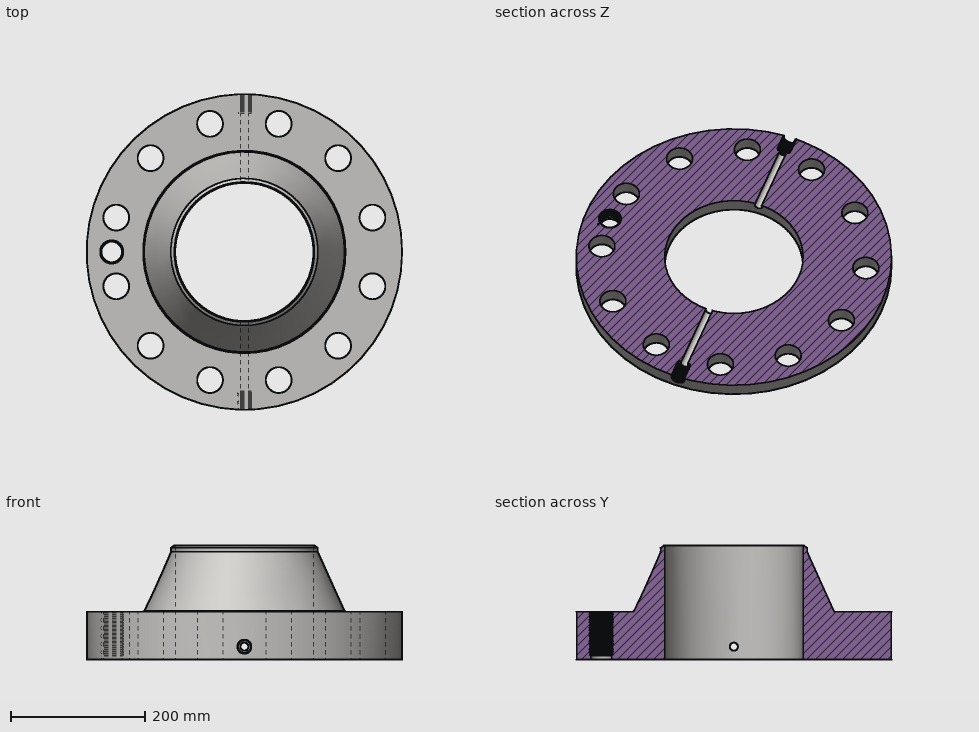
import cadquery as cq
import math

flange_dia = 470.0
flange_thickness = 71.5

overall_height = 170.0
hub_base_dia = 301.5
hub_foot_height = 1.5
cone_base_dia = 298.0
neck_dia = 219.0
neck_start_z = 160.2
bore_dia = 205.5
weld_land = 1.6
bevel_angle = 37.5

bolt_count = 12
bolt_circle_dia = 394.5
bolt_hole_dia = 38.0

jack_minor_dia = 30.5
jack_major_dia = 35.0
jack_pitch = 4.0

tap_z = 19.5
tap_drill_dia = 11.7
tap_minor_dia = 19.0
tap_major_dia = 21.0
tap_pitch = 1.85
tap_depth = 28.0


def flange_body():
    """Revolved disc, tapered hub and bevelled weld end, with the bore open."""
    bore_radius = bore_dia / 2
    land_radius = bore_radius + weld_land
    bevel_width = neck_dia / 2 - land_radius
    bevel_height = bevel_width * math.tan(math.radians(bevel_angle))
    return (
        cq.Workplane("XZ")
        .moveTo(bore_radius, 0)
        .lineTo(flange_dia / 2, 0)
        .lineTo(flange_dia / 2, flange_thickness)
        .lineTo(hub_base_dia / 2, flange_thickness)
        .lineTo(cone_base_dia / 2, flange_thickness + hub_foot_height)
        .lineTo(neck_dia / 2, neck_start_z)
        .lineTo(neck_dia / 2, overall_height - bevel_height)
        .lineTo(land_radius, overall_height)
        .lineTo(bore_radius, overall_height)
        .close()
        .revolve(360, (0, 0, 0), (0, 1, 0))
    )


def threaded_cutter(minor_dia, major_dia, pitch, depth):
    """Cutter along +Z from the origin, with V-shaped rings and its widest ring at the mouth."""
    minor_radius = minor_dia / 2
    major_radius = major_dia / 2
    outline = cq.Workplane("XZ").moveTo(0, 0)
    for ring in range(math.floor(depth / pitch)):
        ring_z = ring * pitch
        outline = outline.lineTo(major_radius, ring_z)
        outline = outline.lineTo(minor_radius, ring_z + pitch / 2)
    outline = outline.lineTo(minor_radius, depth).lineTo(0, depth).close()
    return outline.revolve(360, (0, 0, 0), (0, 1, 0))


def bolt_holes():
    """Plain through holes straddling the X and Y axes."""
    half_step = 180 / bolt_count
    return (
        cq.Workplane("XY")
        .polarArray(bolt_circle_dia / 2, half_step, 360, bolt_count)
        .circle(bolt_hole_dia / 2)
        .extrude(flange_thickness)
    )


def jack_hole():
    """Threaded hole entering from the top of the flange and running right through."""
    cutter = threaded_cutter(jack_minor_dia, jack_major_dia, jack_pitch, flange_thickness)
    cutter = cutter.rotate((0, 0, 0), (1, 0, 0), 180)
    return cutter.translate((-bolt_circle_dia / 2, 0, flange_thickness))


def pressure_tap():
    """Tap entering from the rim at -Y and drilled on to the bore."""
    rim_to_axis = flange_dia / 2
    thread = threaded_cutter(tap_minor_dia, tap_major_dia, tap_pitch, tap_depth)
    drill = cq.Workplane("XY").circle(tap_drill_dia / 2).extrude(rim_to_axis)
    cutter = thread.union(drill)
    return cutter.rotate((0, 0, 0), (1, 0, 0), -90).translate((0, -rim_to_axis, tap_z))


result = flange_body().cut(bolt_holes()).cut(jack_hole())
for tap_angle in (0, 180):
    result = result.cut(pressure_tap().rotate((0, 0, 0), (0, 0, 1), tap_angle))